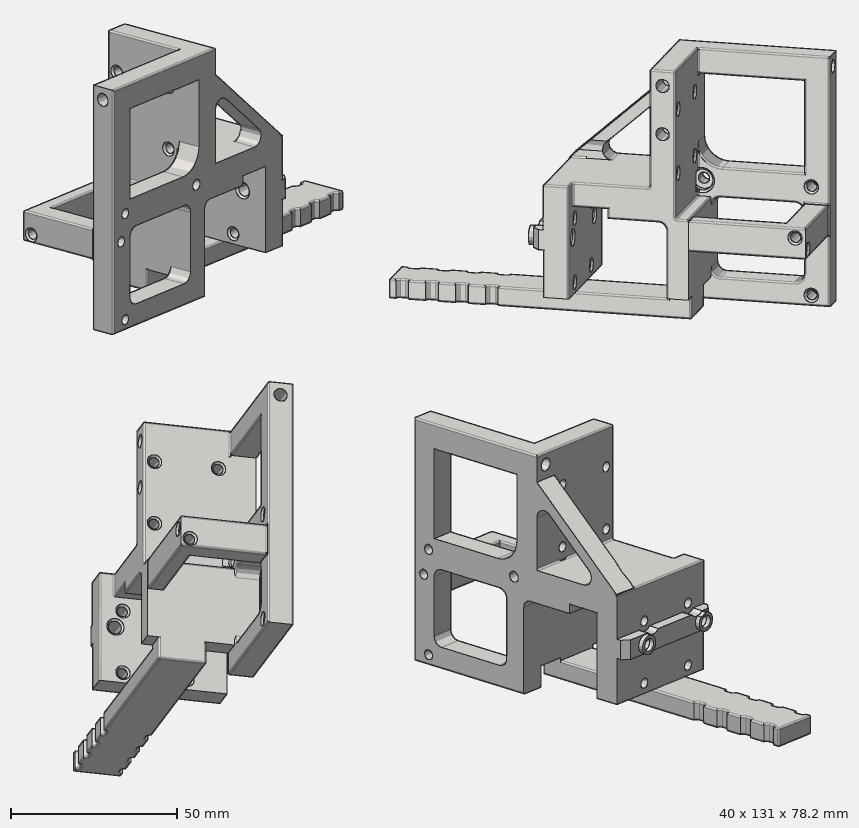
import cadquery as cq
import math

WIDTH = 40.0
LENGTH = 131.0
HEIGHT = 78.2
EDGE = 0.5
NEAR = 0.01
SIDE_X = 4.7
PLATE_T = 8.0
PLATE_X = WIDTH - PLATE_T

LOWER_FRONT = 37.0
LOWER_BACK = 43.8
UPPER_FRONT = 41.0
UPPER_BACK = UPPER_FRONT + PLATE_T
BACK_FRONT = 73.0
BACK_REAR = BACK_FRONT + PLATE_T
LEDGE_Z = 32.0
DECK_TOP = 41.3
DECK_LOW = 30.7
DECK_HIGH = 33.7
DECK_STEP_Y = 62.1
DECK_ROUND = 2.6
LOWER_WALL_Z = 7.0

RAIL = PLATE_T
UPPER_WINDOW_ROUND = 7.6
LOWER_WINDOW_ROUND = 3.0
COVE_TOP_Z = 46.1
BRACE_TOP_Z = 69.7
BRACE_W = 3.5
BRACE_ROUND = 3.0

ARM_INSET = 0.1
ARM_X = SIDE_X + ARM_INSET
ARM_TOP = LEDGE_Z - ARM_INSET
ARM_FRONT = 0.5
ARM_W = 5.0
ARM_Z = 22.1

HANDLE_X = 8.3
HANDLE_W = 14.9
HANDLE_T = 6.0
GRIP_COUNT = 4
GRIP_PITCH = 9.3
GRIP_W = 3.9
GRIP_DEPTH = 1.2
NOTCH_CUTTER = 3 * GRIP_DEPTH
GRIP_END = 2.1

BAR_Z = 24.0
BAR_H = 6.3
BAR_BOTTOM = BAR_Z - BAR_H / 2
BAR_T = 3.5
BAR_CORNER = 2.1
BAR_REAR = BACK_REAR + BAR_T
BOSS_D = 6.0
BOSS_T = 1.6
BOSS_BORE = 4.0
BOSS_X = (5.0, 31.0)

SCREW_D = 3.1
MOUTH = 0.7
SCREW_PITCH = 20.0
FRONT_SCREW = (8.1, 45.5)
BACK_SCREW = (7.3, 9.3)
HEAD_D = 6.5
BRACE_CLEARANCE_D = 8.3
DOWEL_D = 4.0
DOWEL_DEPTH = 7.9
DOWEL_Y = (UPPER_FRONT + UPPER_BACK) / 2
DOWEL_Z = (58.3, 73.4)
RAIL_HOLE = (35.9, 74.3)
PLATE_HOLES = ((5.8, 37.2), (5.8, 3.3))
ARM_SIDE_HOLE = (3.8, 28.7)
ARM_FRONT_HOLE = (7.7, 24.6)
BORED_HOLE = (39.8, 37.0)
BORED_HOLE_D = 3.4
BORE_D = 6.5
BORE_DEPTH = 2.6
BORE_START_X = 29.5


def block(x0, x1, y0, y1, z0, z1):
    """A box between two opposite corners."""
    return cq.Workplane("XY").box(x1 - x0, y1 - y0, z1 - z0, centered=False).translate((x0, y0, z0))


def along_x(x):
    """A workplane facing +X whose axes are Y and Z."""
    return cq.Workplane("YZ", origin=(x, 0, 0))


def along_y(y):
    """A workplane facing +Y whose axes are -X and Z."""
    return cq.Workplane(cq.Plane(origin=(0, y, 0), xDir=(-1, 0, 0), normal=(0, 1, 0)))


def rod_x(y, z, diameter, x0, x1):
    return along_x(x0).center(y, z).circle(diameter / 2).extrude(x1 - x0)


def rod_y(x, z, diameter, y0, y1):
    return along_y(y0).center(-x, z).circle(diameter / 2).extrude(y1 - y0)


def cone(workplane, radius):
    """A 45 degree cone that narrows along the workplane's normal."""
    return cq.Workplane(
        cq.Solid.makeCone(radius, 0, radius, pnt=workplane.plane.origin, dir=workplane.plane.zDir)
    )


def hole_x(y, z, diameter, x0, x1):
    """A hole cutter along +X with a chamfered mouth at x0."""
    mouth = cone(along_x(x0).center(y, z), diameter / 2 + MOUTH)
    return rod_x(y, z, diameter, x0, x1).union(mouth)


def hole_y(x, z, diameter, y0, y1):
    """A hole cutter along +Y with a chamfered mouth at y0."""
    mouth = cone(along_y(y0).center(-x, z), diameter / 2 + MOUTH)
    return rod_y(x, z, diameter, y0, y1).union(mouth)


def cove(workplane, side, length):
    """A strip that rounds the inner corner at the workplane's origin.

    It fills the corner towards negative local X and towards `side` (1 or -1) of local Y.
    """
    return (
        workplane.lineTo(-EDGE, 0)
        .radiusArc((0, side * EDGE), -side * EDGE)
        .close()
        .extrude(length)
    )


def upright_cove(y, z0, z1):
    """A cove in the corner between a front face at y and the side plate."""
    return cove(cq.Workplane("XY", origin=(PLATE_X, y, z0)), -1, z1 - z0)


def level_cove(z, y0, y1):
    """A cove in the corner between a top face at z and the side plate."""
    return cove(cq.Workplane("XZ", origin=(PLATE_X, y1, z)), 1, y1 - y0)


def screw_places(first):
    """X and Z of the four screws in a square pattern."""
    x, z = first
    return [(x + i * SCREW_PITCH, z + j * SCREW_PITCH) for i in range(2) for j in range(2)]


def edge_near(body, point):
    """The edge of the body whose middle is nearest to the point."""
    return body.edges(cq.selectors.NearestToPointSelector(point))


def upper_window():
    r = UPPER_WINDOW_ROUND
    return (
        along_x(PLATE_X)
        .moveTo(RAIL, DECK_TOP)
        .lineTo(UPPER_FRONT - r, DECK_TOP)
        .radiusArc((UPPER_FRONT, DECK_TOP + r), -r)
        .lineTo(UPPER_FRONT, HEIGHT - RAIL)
        .lineTo(RAIL, HEIGHT - RAIL)
        .close()
        .extrude(PLATE_T)
    )


def lower_window():
    window = block(PLATE_X, WIDTH, RAIL, LOWER_FRONT, LOWER_WALL_Z, LEDGE_Z)
    return window.edges("|X").fillet(LOWER_WINDOW_ROUND)


def side_plate():
    front = block(PLATE_X, WIDTH, 0, LOWER_BACK, 0, HEIGHT)
    rear = block(PLATE_X, WIDTH, 0, UPPER_BACK, DECK_LOW, HEIGHT)
    plate = front.union(rear).cut(upper_window()).cut(lower_window())
    rims = plate.faces("<X").val().innerWires()
    return plate.newObject([edge for rim in rims for edge in rim.Edges()]).fillet(EDGE)


def brace():
    """The sloping strut behind the upper wall, with a rounded triangular window."""
    slope = (BRACE_TOP_Z - DECK_TOP) / (BACK_REAR - UPPER_BACK)
    drop = BRACE_W * math.hypot(1, slope)
    window_tip_y = BACK_REAR - drop / slope
    outline = [(BACK_REAR, DECK_TOP), (UPPER_BACK, BRACE_TOP_Z), (UPPER_BACK, DECK_TOP)]
    window_outline = [(window_tip_y, DECK_TOP), (UPPER_BACK, BRACE_TOP_Z - drop), (UPPER_BACK, DECK_TOP)]
    strut = along_x(PLATE_X).polyline(outline).close().extrude(PLATE_T)
    window = along_x(PLATE_X).polyline(window_outline).close().extrude(PLATE_T)
    window = window.edges("|X and (>Y or >Z)").fillet(BRACE_ROUND)
    base = level_cove(DECK_TOP, window_tip_y, BACK_REAR - EDGE)
    return strut.union(base).cut(window)


def walls_and_deck():
    upper = block(SIDE_X, WIDTH, UPPER_FRONT, UPPER_BACK, DECK_LOW, HEIGHT)
    lower = block(SIDE_X, WIDTH, LOWER_FRONT, LOWER_BACK, LOWER_WALL_Z, LEDGE_Z)
    deck = block(SIDE_X, WIDTH, UPPER_FRONT, BACK_FRONT, DECK_HIGH, DECK_TOP)
    step = block(SIDE_X, WIDTH, UPPER_FRONT, DECK_STEP_Y, DECK_LOW, DECK_TOP)
    back = block(0, WIDTH, BACK_FRONT, BACK_REAR, HANDLE_T, DECK_TOP)
    body = upper.union(lower).union(step).clean()
    body = edge_near(body, (WIDTH / 2, LOWER_BACK, DECK_LOW)).fillet(DECK_ROUND)
    return body.union(deck).union(back)


def lies_at(edge, axis, value):
    """True if the whole edge lies at one value of X, Y or Z."""
    box = edge.BoundingBox()
    low, high = {
        "x": (box.xmin, box.xmax),
        "y": (box.ymin, box.ymax),
        "z": (box.zmin, box.zmax),
    }[axis]
    return abs(low - value) < NEAR and abs(high - value) < NEAR


def is_rounded(edge):
    """True for the edges of the walls, the deck and the plate's outline that are rounded."""
    box = edge.BoundingBox()
    level = box.zmax - box.zmin < NEAR
    across = box.xmax - box.xmin > EDGE + NEAR and box.xmin < PLATE_X - NEAR
    left_side = lies_at(edge, "x", SIDE_X) and box.zmax > LOWER_WALL_Z + NEAR
    lower_front = lies_at(edge, "y", LOWER_FRONT)
    wall_side = left_side and not (lower_front and not level)
    plate_face = lies_at(edge, "x", PLATE_X) or lies_at(edge, "x", WIDTH)
    plate_rim = lies_at(edge, "y", 0) or lies_at(edge, "z", 0) or lies_at(edge, "z", HEIGHT)
    plate_outline = plate_face and plate_rim
    crest = across and any(lies_at(edge, "z", z) for z in (LEDGE_Z, DECK_TOP, HEIGHT))
    back_end = lies_at(edge, "x", 0) and (lies_at(edge, "z", DECK_TOP) or lies_at(edge, "y", BACK_FRONT))
    return wall_side or plate_outline or crest or back_end


def rounded_frame():
    frame = side_plate().union(walls_and_deck()).clean()
    return frame.newObject([edge for edge in frame.edges().vals() if is_rounded(edge)]).fillet(EDGE)


def arm():
    outer = block(ARM_X, PLATE_X, ARM_FRONT, LOWER_FRONT, ARM_Z, ARM_TOP)
    opening = block(ARM_X + ARM_W, PLATE_X, RAIL, LOWER_FRONT, ARM_Z, ARM_TOP)
    return outer.cut(opening).faces("<Z or >Z").edges().fillet(EDGE)


def grip_notch(x0, y):
    """A rounded notch cutter whose left side is at x0."""
    notch = block(x0, x0 + NOTCH_CUTTER, y, y + GRIP_W, 0, HANDLE_T)
    return notch.edges("|Z").fillet(GRIP_DEPTH)


def handle():
    x0, x1 = HANDLE_X, HANDLE_X + HANDLE_W
    bar = block(x0, x1, LOWER_FRONT, LENGTH, 0, HANDLE_T).edges("|Z").fillet(EDGE)
    for i in range(GRIP_COUNT):
        y = LENGTH - GRIP_END - GRIP_W - i * GRIP_PITCH
        bar = bar.cut(grip_notch(x0 + GRIP_DEPTH - NOTCH_CUTTER, y)).cut(grip_notch(x1 - GRIP_DEPTH, y))
    bar = bar.faces("<Z or >Z").edges().fillet(EDGE)
    foot = block(x0, x1, LOWER_FRONT, LOWER_BACK, EDGE, LOWER_WALL_Z).edges("|Z and <Y").fillet(EDGE)
    return bar.union(foot)


def crossbar():
    bar = block(0, WIDTH, BACK_REAR, BAR_REAR, BAR_BOTTOM, BAR_BOTTOM + BAR_H)
    return bar.edges("|Z and >Y").chamfer(BAR_CORNER)


def head_clearances(part):
    """Cut room for the heads of the back wall's screws."""
    for x, z in screw_places(BACK_SCREW):
        part = part.cut(rod_y(x, z, HEAD_D, BACK_REAR, BAR_REAR + BOSS_T))
    return part


def boss(x):
    ring = rod_y(x, BAR_Z, BOSS_D, BAR_REAR, BAR_REAR + BOSS_T)
    return head_clearances(ring.cut(rod_y(x, BAR_Z, BOSS_BORE, BAR_REAR, BAR_REAR + BOSS_T)))


def dowel_hole(z):
    """A blind hole in the left face of the upper wall, with a drill point."""
    point = cone(along_x(SIDE_X + DOWEL_DEPTH).center(DOWEL_Y, z), DOWEL_D / 2)
    return rod_x(DOWEL_Y, z, DOWEL_D, SIDE_X, SIDE_X + DOWEL_DEPTH).union(point)


def bored_hole():
    y, z = BORED_HOLE
    hole = rod_x(y, z, BORED_HOLE_D, BORE_START_X, WIDTH)
    bore = rod_x(y, z, BORE_D, BORE_START_X, PLATE_X + BORE_DEPTH)
    mouth = cone(along_x(PLATE_X).center(y, z), BORE_D / 2 + MOUTH)
    mouth = mouth.intersect(block(PLATE_X, PLATE_X + MOUTH, 0, UPPER_BACK, 0, HEIGHT))
    return hole.union(bore).union(mouth)


def drilled(frame):
    for x, z in screw_places(FRONT_SCREW):
        frame = frame.cut(hole_y(x, z, SCREW_D, UPPER_FRONT, UPPER_BACK))
    for x, z in screw_places(BACK_SCREW):
        frame = frame.cut(hole_y(x, z, SCREW_D, BACK_FRONT, BACK_REAR))
    for x in BOSS_X:
        frame = frame.cut(hole_y(x, BAR_Z, BOSS_BORE, BACK_FRONT, BAR_REAR))
    for y, z in PLATE_HOLES:
        frame = frame.cut(hole_x(y, z, SCREW_D, PLATE_X, WIDTH))
    for z in DOWEL_Z:
        frame = frame.cut(dowel_hole(z))
    right_screw = (FRONT_SCREW[0] + SCREW_PITCH, FRONT_SCREW[1])
    frame = frame.cut(rod_y(*right_screw, BRACE_CLEARANCE_D, UPPER_BACK, BACK_REAR))
    frame = frame.cut(rod_y(*RAIL_HOLE, DOWEL_D, 0, UPPER_BACK))
    frame = frame.cut(hole_x(*ARM_SIDE_HOLE, SCREW_D, ARM_X, WIDTH))
    frame = frame.cut(hole_y(*ARM_FRONT_HOLE, SCREW_D, ARM_FRONT, LOWER_BACK))
    return frame.cut(bored_hole())


def build_frame():
    frame = rounded_frame()
    coves = [
        upright_cove(UPPER_FRONT, HEIGHT - RAIL - EDGE, HEIGHT - EDGE),
        upright_cove(UPPER_FRONT, LEDGE_Z, COVE_TOP_Z),
        upright_cove(ARM_FRONT, ARM_Z, ARM_TOP),
        level_cove(ARM_TOP, ARM_FRONT, RAIL),
    ]
    for part in [brace(), arm(), handle(), crossbar(), *coves]:
        frame = frame.union(part)
    frame = edge_near(frame, (0, BACK_REAR, (HANDLE_T + BAR_BOTTOM) / 2)).fillet(EDGE)
    return drilled(head_clearances(frame))


frame = build_frame()
bosses = [boss(x) for x in BOSS_X]
result = cq.Compound.makeCompound([frame.val(), *[ring.val() for ring in bosses]])